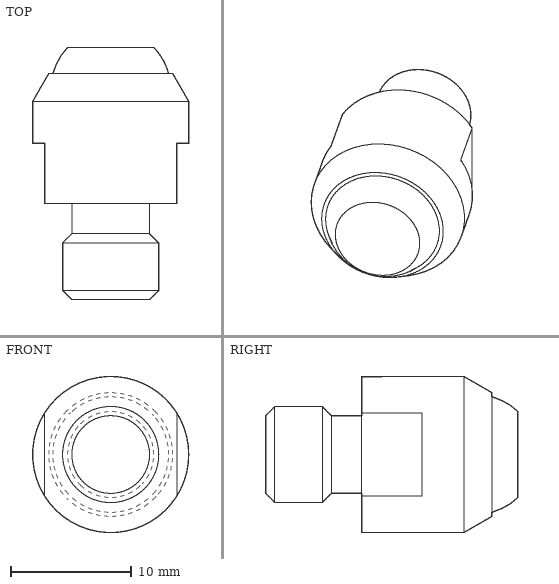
import cadquery as cq
import math

total_length = 21.0
body_diameter = 13.0
stud_diameter = 8.0
neck_diameter = 6.47
stud_length = 8.0
neck_length = 2.5
body_length = 8.5
shoulder_length = 2.33
shoulder_angle = 30.0
nose_radius = 5.0
nose_flat_diameter = 7.16
flat_width = 11.0
flat_length = 5.0

body_radius = body_diameter / 2
stud_radius = stud_diameter / 2
neck_radius = neck_diameter / 2
nose_flat_radius = nose_flat_diameter / 2
shoulder_radius = body_radius - shoulder_length * math.tan(math.radians(shoulder_angle))
stud_chamfer = stud_radius - neck_radius

stud_end = -total_length / 2
body_start = stud_end + stud_length
neck_start = body_start - neck_length
shoulder_start = body_start + body_length
nose_start = shoulder_start + shoulder_length
nose_end = total_length / 2

nose_center = nose_end - math.sqrt(nose_radius**2 - nose_flat_radius**2)


def nose_radius_at(y):
    """Radius of the spherical nose at a station along the axis."""
    return math.sqrt(nose_radius**2 - (y - nose_center) ** 2)


def turned_part():
    """Stud, neck, body, conical shoulder and spherical nose in one revolve."""
    nose_middle = (nose_start + nose_end) / 2
    profile = (
        cq.Workplane("XY")
        .moveTo(0, stud_end)
        .lineTo(stud_radius - stud_chamfer, stud_end)
        .lineTo(stud_radius, stud_end + stud_chamfer)
        .lineTo(stud_radius, neck_start - stud_chamfer)
        .lineTo(neck_radius, neck_start)
        .lineTo(neck_radius, body_start)
        .lineTo(body_radius, body_start)
        .lineTo(body_radius, shoulder_start)
        .lineTo(shoulder_radius, nose_start)
        .lineTo(nose_radius_at(nose_start), nose_start)
        .threePointArc((nose_radius_at(nose_middle), nose_middle), (nose_flat_radius, nose_end))
        .lineTo(0, nose_end)
        .close()
    )
    return profile.revolve(360, (0, 0, 0), (0, 1, 0))


def flat_cutter(side):
    """Block that removes the body beyond one wrench flat; side is -1 or 1."""
    depth = body_radius
    return cq.Workplane("XY").box(depth, flat_length, body_diameter).translate(
        (side * (flat_width + depth) / 2, body_start + flat_length / 2, 0)
    )


result = turned_part()
for side in (-1, 1):
    result = result.cut(flat_cutter(side))